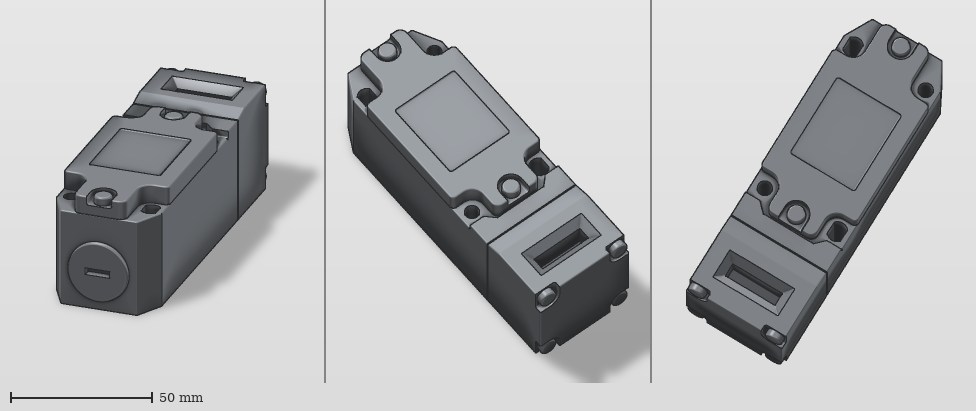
import cadquery as cq
width = 40.0
half_width = width / 2
overall_length = 119.6
plug_thickness = 1.7
body_length = overall_length - plug_thickness
total_height = 43.5

ledge_z = 36.6
shelf_z = 39.2
head_z = 41.0
step_y = 77.4
seam_y = 87.3
ramp_top_y = 93.9
front_half_width = 14.5
front_chamfer_length = 10.3
edge_round = 0.54
front_corner_round = 0.7
seam_size = 0.2

recess_back_y = 80.9
recess_half_width = 10.4
recess_round = 0.6
recess_flare = recess_back_y - step_y

cover_front_y = 0.0
cover_back_y = 79.9
shoulder_front_y = 17.3
shoulder_back_y = 67.4
tongue_half_width = 9.9
shoulder_inner_round = 5.0
shoulder_outer_round = 1.7
tongue_round = 2.9
cover_edge_round = 0.6

label_width = 26.8
label_front_y = 25.6
label_back_y = 57.9
label_depth = 0.6
label_round = 1.0
label_floor_round = 0.5

screw_radius = 3.3
screw_edge_round = 0.8
screw_below_face = 0.2
pocket_radius = 4.8
pocket_floor_round = 1.0
cover_pocket_depth = 3.2
head_pocket_depth = 3.0
cover_screw_inset = 4.4
head_screw_inset = 4.0

hole_x = 15.1
hole_front_y = 12.2
hole_back_y = 72.3
hole_diameter = 5.4
slot_width = 5.5
slot_length = 7.3

window_y = 104.3
window_width = 27.0
window_length = 11.5
funnel_inset = 3.2
funnel_depth = 3.0
funnel_round = 0.4
window_depth = 12.0

plug_z = 15.2
plug_radius = 11.5
plug_edge_round = 1.0
plug_slot_width = 9.2
plug_slot_height = 2.6
plug_slot_depth = 3.0


def block(x_range, y_range, z_range):
    """Axis-aligned box given by its limits."""
    size = [high - low for low, high in (x_range, y_range, z_range)]
    origin = (x_range[0], y_range[0], z_range[0])
    return cq.Workplane("XY").box(*size, centered=False).translate(origin)


def make_base():
    """Front part of the body, up to the step, with narrowed front corners."""
    base = (
        cq.Workplane("XY")
        .polyline([
            (-front_half_width, 0),
            (front_half_width, 0),
            (half_width, front_chamfer_length),
            (half_width, step_y),
            (-half_width, step_y),
            (-half_width, front_chamfer_length),
        ])
        .close()
        .extrude(ledge_z)
    )
    base = base.edges("|Z and <Y").fillet(front_corner_round)
    return base.edges("<Z or >Z or <Y").edges("not >Y").fillet(edge_round)


def make_head():
    """Rear part of the body, from just ahead of the step to the back, with the ramp on top."""
    front_y = step_y - recess_round
    head = (
        cq.Workplane("YZ")
        .polyline([
            (front_y, 0),
            (body_length, 0),
            (body_length, head_z),
            (ramp_top_y, head_z),
            (seam_y, shelf_z),
            (front_y, shelf_z),
        ])
        .close()
        .extrude(half_width, both=True)
    )
    sides = head.faces("<X or >X or >Y").edges().vals()
    front = head.faces("<Y").edges().vals()
    rounded = [edge for edge in sides if not any(edge.isSame(other) for other in front)]
    return head.newObject(rounded).fillet(edge_round)


def shelf_recess():
    """Space cleared above the cover seat, with a flared bay at the back for the tongue."""
    flare_half_width = recess_half_width + recess_flare
    front_y = step_y - 2 * recess_round
    clear_half_width = width
    space = (
        cq.Workplane("XY", origin=(0, 0, ledge_z))
        .polyline([
            (-clear_half_width, front_y),
            (-clear_half_width, step_y),
            (-flare_half_width, step_y),
            (-recess_half_width, recess_back_y),
            (recess_half_width, recess_back_y),
            (flare_half_width, step_y),
            (clear_half_width, step_y),
            (clear_half_width, front_y),
        ])
        .close()
        .extrude(head_z - ledge_z)
    )
    return space.faces("<Z").edges("not(|Y)").edges("not(<Y)").fillet(recess_round)


def seam_groove():
    """Shallow V-groove around the joint between body and head."""
    section = [(-seam_size, 0), (seam_size, 0), (0, -seam_size)]
    top = [(seam_y + along, shelf_z + out) for along, out in section]
    groove = cq.Workplane("YZ").polyline(top).close().extrude(half_width, both=True)
    for side in (-1, 1):
        flank = [(side * (half_width + out), seam_y + along) for along, out in section]
        groove = groove.union(cq.Workplane("XY").polyline(flank).close().extrude(head_z))
    return groove


def make_cover():
    margin = 1.2
    plate = block(
        (-half_width, half_width), (shoulder_front_y, shoulder_back_y), (ledge_z, total_height)
    )
    plate = plate.edges("|Z").fillet(shoulder_outer_round)
    tongue = block(
        (-tongue_half_width, tongue_half_width), (cover_front_y, cover_back_y), (ledge_z, total_height)
    )
    tongue = tongue.edges("|Z").fillet(tongue_round)
    cover = plate.union(tongue)
    inner_corners = cq.selectors.BoxSelector(
        (-tongue_half_width - margin, shoulder_front_y - margin, ledge_z),
        (tongue_half_width + margin, shoulder_back_y + margin, total_height),
    )
    cover = cover.edges("|Z").edges(inner_corners).fillet(shoulder_inner_round)
    cover = cover.faces(">Z").edges().fillet(cover_edge_round)
    label = block(
        (-label_width / 2, label_width / 2),
        (label_front_y, label_back_y),
        (total_height - label_depth, total_height),
    )
    label = label.edges("|Z").fillet(label_round).faces("<Z").edges().fillet(label_floor_round)
    return cover.cut(label)


def screw_head(height):
    """Round head standing on the XY plane."""
    head = cq.Workplane("XY").circle(screw_radius).extrude(height)
    return head.faces(">Z").edges().fillet(screw_edge_round)


def cover_pocket():
    """U-shaped pocket centred on the origin, floor at Z = 0, open towards -Y."""
    reach = 2 * pocket_radius
    pocket = (
        cq.Workplane("XY")
        .moveTo(-pocket_radius, -reach)
        .lineTo(-pocket_radius, 0)
        .threePointArc((0, pocket_radius), (pocket_radius, 0))
        .lineTo(pocket_radius, -reach)
        .close()
        .extrude(2 * cover_pocket_depth)
    )
    return pocket.faces("<Z").edges().fillet(pocket_floor_round)


def head_pocket():
    """Corner pocket centred on the origin, floor at Z = 0, open towards +X and +Y."""
    reach = 2 * pocket_radius
    pocket = block(
        (-pocket_radius, reach), (-pocket_radius, reach), (0, 2 * head_pocket_depth)
    )
    pocket = pocket.edges("|Z and <X and <Y").fillet(pocket_radius)
    return pocket.faces("<Z").edges().fillet(pocket_floor_round)


def add_cover_screws(part):
    floor_z = total_height - cover_pocket_depth
    head = screw_head(cover_pocket_depth - screw_below_face)
    for y, turn in ((cover_front_y + cover_screw_inset, 0), (cover_back_y - cover_screw_inset, 180)):
        pocket = cover_pocket().rotate((0, 0, 0), (0, 0, 1), turn)
        part = part.cut(pocket.translate((0, y, floor_z)))
        part = part.union(head.translate((0, y, floor_z)))
    return part


def add_head_screws(part):
    floor_y = body_length - head_pocket_depth
    x = half_width - head_screw_inset
    corners = [
        (x, head_screw_inset, 0),
        (x, head_z - head_screw_inset, 270),
        (-x, head_z - head_screw_inset, 180),
        (-x, head_screw_inset, 90),
    ]
    head = screw_head(head_pocket_depth).rotate((0, 0, 0), (1, 0, 0), -90)
    for corner_x, corner_z, turn in corners:
        pocket = head_pocket().rotate((0, 0, 0), (1, 0, 0), -90).rotate((0, 0, 0), (0, 1, 0), turn)
        part = part.cut(pocket.translate((corner_x, floor_y, corner_z)))
        part = part.union(head.translate((corner_x, floor_y, corner_z)))
    return part


def mounting_holes():
    """Round holes on one diagonal, slots with arched ends on the other."""
    holes = (
        cq.Workplane("XY")
        .pushPoints([(-hole_x, hole_front_y), (hole_x, hole_back_y)])
        .circle(hole_diameter / 2)
        .extrude(total_height)
    )
    slot_places = [(hole_x, hole_front_y), (-hole_x, hole_back_y)]
    arches = cq.Workplane("XY").pushPoints(slot_places).circle(slot_length / 2).extrude(total_height)
    strips = cq.Workplane("XY").pushPoints(slot_places).rect(slot_width, slot_length).extrude(total_height)
    return holes.union(arches.intersect(strips))


def actuator_window():
    """Funnel-shaped mouth leading into a straight-walled pocket."""
    inner_width = window_width - 2 * funnel_inset
    inner_length = window_length - 2 * funnel_inset
    top = cq.Workplane("XY", origin=(0, window_y, head_z))
    funnel = (
        top.rect(window_width, window_length)
        .workplane(offset=-funnel_depth)
        .rect(inner_width, inner_length)
        .loft(ruled=True)
        .edges("not(|X or |Y)")
        .fillet(funnel_round)
    )
    return funnel.union(top.rect(inner_width, inner_length).extrude(-window_depth))


def make_plug():
    plug = cq.Workplane("XZ", origin=(0, 0, plug_z)).circle(plug_radius).extrude(plug_thickness)
    return plug.faces("<Y").edges().fillet(plug_edge_round)


def plug_slot():
    """Screwdriver slot sunk through the plug."""
    return (
        cq.Workplane("XZ", origin=(0, -plug_thickness, plug_z))
        .rect(plug_slot_width, plug_slot_height)
        .extrude(-plug_slot_depth)
    )


body = make_base().union(make_head())
body = body.cut(seam_groove()).cut(shelf_recess()).cut(actuator_window())
body = add_head_screws(body)
cover = add_cover_screws(make_cover())
result = body.union(cover).union(make_plug())
result = result.cut(mounting_holes()).cut(plug_slot())